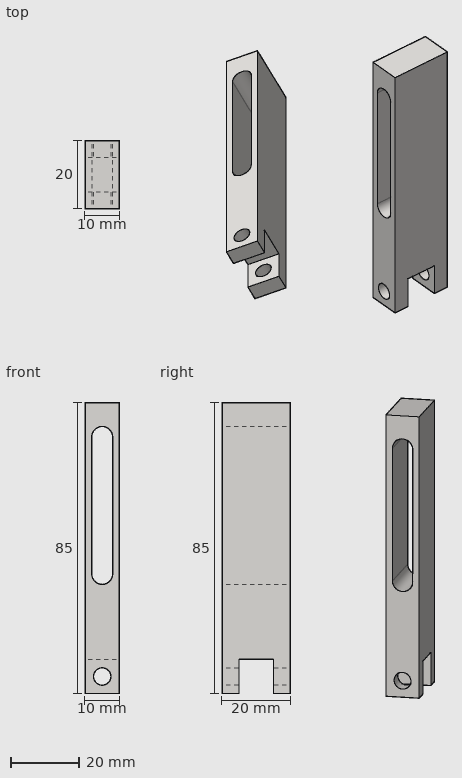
import cadquery as cq

width = 10.0
depth = 20.0
height = 85.0

slot_width = 6.0
slot_bottom = 32.0
slot_top = 78.0
slot_length = slot_top - slot_bottom
slot_center = (slot_top + slot_bottom) / 2

fork_gap = width
fork_depth = 10.0
pin_diameter = 5.0
pin_height = fork_depth / 2


def make_body():
    return cq.Workplane("XY").box(width, depth, height, centered=(True, True, False))


def make_slot():
    profile = cq.Workplane("XZ").center(0, slot_center).slot2D(slot_length, slot_width, 90)
    return profile.extrude(depth / 2, both=True)


def make_fork_gap():
    return cq.Workplane("XY").box(width, fork_gap, fork_depth, centered=(True, True, False))


def make_pin_hole():
    profile = cq.Workplane("XZ").center(0, pin_height).circle(pin_diameter / 2)
    return profile.extrude(depth / 2, both=True)


result = make_body().cut(make_slot()).cut(make_fork_gap()).cut(make_pin_hole())